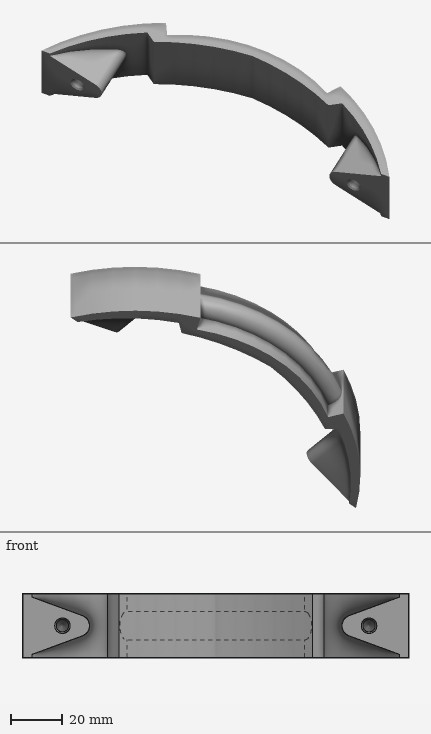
import cadquery as cq
import math

length = 150.0
height = 25.0
half_length = length / 2

wing_radius = 87.6
foot_width = 3.6
inner_foot_x = half_length - foot_width
outer_center_y = -math.sqrt(wing_radius**2 - half_length**2)
inner_center_y = -50.7
wing_inner_end_x = 42.0

span_top_y = 37.5
span_radius = 69.6
span_half_angle = 29.7
span_center_y = span_top_y - span_radius
span_peak = (0, 33.0)
span_inner_mid = (25.7, 27.9)
span_inner_end = (37.7, 23.0)

bead_radius = 5.5

foot_reach = 26.0
tip_radius = 4.2
flank_angle = math.radians(20.2)

hole_inset = 15.5
hole_diameter = 4.8
rim_chamfer = 0.6
hole_depth = 9.0
drill_point_angle = math.radians(118)


def arc_y(x, radius, center_y):
    """Height of an arc centred on the Y axis."""
    return center_y + math.sqrt(radius**2 - x**2)


def wing_outer(x):
    return x, arc_y(x, wing_radius, outer_center_y)


def wing_inner(x):
    return x, arc_y(x, wing_radius, inner_center_y)


def mirrored(point):
    return -point[0], point[1]


wall_angle = math.radians(span_half_angle)
span_end = (
    span_radius * math.sin(wall_angle),
    span_center_y + span_radius * math.cos(wall_angle),
)
center_gap = span_center_y - outer_center_y
wall_radius = (
    math.sqrt(wing_radius**2 - (center_gap * math.sin(wall_angle)) ** 2)
    - center_gap * math.cos(wall_angle)
)
wall_top_x = wall_radius * math.sin(wall_angle)
wall_top = wing_outer(wall_top_x)
outer_mid = wing_outer((half_length + wall_top_x) / 2)
inner_mid = wing_inner((inner_foot_x + wing_inner_end_x) / 2)
inner_end = wing_inner(wing_inner_end_x)


def make_band():
    """Curved handle profile, extruded over the full height."""
    profile = (
        cq.Workplane("XY")
        .moveTo(-half_length, 0)
        .threePointArc(mirrored(outer_mid), mirrored(wall_top))
        .lineTo(*mirrored(span_end))
        .threePointArc((0, span_top_y), span_end)
        .lineTo(*wall_top)
        .threePointArc(outer_mid, (half_length, 0))
        .lineTo(inner_foot_x, 0)
        .threePointArc(inner_mid, inner_end)
        .lineTo(*span_inner_end)
        .threePointArc(span_inner_mid, span_peak)
        .threePointArc(mirrored(span_inner_mid), mirrored(span_inner_end))
        .lineTo(*mirrored(inner_end))
        .threePointArc(mirrored(inner_mid), mirrored((inner_foot_x, 0)))
        .close()
    )
    return profile.extrude(height / 2, both=True)


def make_bead():
    """Half disc revolved about the span centre between the two end walls."""
    half_disc = (
        cq.Workplane("YZ")
        .moveTo(span_top_y, -bead_radius)
        .threePointArc((span_top_y + bead_radius, 0), (span_top_y, bead_radius))
        .close()
    )
    bead = half_disc.revolve(2 * span_half_angle, (span_center_y, 0), (span_center_y, 1))
    return bead.rotate((0, span_center_y, 0), (0, span_center_y, 1), -span_half_angle)


def make_foot():
    """Right-hand wedge, reaching from the foot plane up into the wing."""
    tip_x = half_length - foot_reach
    round_center_x = tip_x + tip_radius
    tangent_x = round_center_x - tip_radius * math.sin(flank_angle)
    tangent_z = tip_radius * math.cos(flank_angle)
    base_z = tangent_z + (inner_foot_x - tangent_x) * math.tan(flank_angle)
    wedge = (
        cq.Workplane("XZ")
        .moveTo(inner_foot_x, -base_z)
        .lineTo(tangent_x, -tangent_z)
        .threePointArc((tip_x, 0), (tangent_x, tangent_z))
        .lineTo(inner_foot_x, base_z)
        .close()
        .extrude(-half_length)
    )
    under_wing = (
        cq.Workplane("XY")
        .moveTo(0, 0)
        .lineTo(half_length, 0)
        .threePointArc(outer_mid, wing_outer(0))
        .close()
        .extrude(height / 2, both=True)
    )
    return wedge.intersect(under_wing)


def make_hole():
    """Right-hand screw hole, drilled along Y from the foot plane."""
    hole_radius = hole_diameter / 2
    point_length = hole_radius / math.tan(drill_point_angle / 2)
    hole_x = half_length - hole_inset
    return (
        cq.Workplane("XY")
        .moveTo(hole_x, 0)
        .lineTo(hole_x + hole_radius + rim_chamfer, 0)
        .lineTo(hole_x + hole_radius, rim_chamfer)
        .lineTo(hole_x + hole_radius, hole_depth)
        .lineTo(hole_x, hole_depth + point_length)
        .close()
        .revolve(360, (hole_x, 0), (hole_x, 1))
    )


foot = make_foot()
hole = make_hole()
result = make_band().union(make_bead())
result = result.union(foot).union(foot.mirror("YZ"))
result = result.cut(hole).cut(hole.mirror("YZ"))